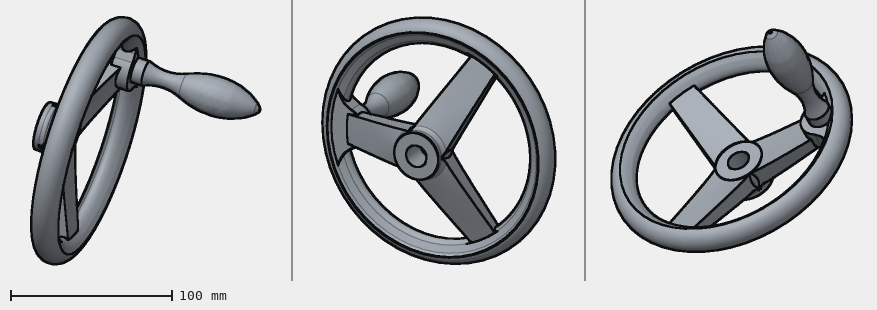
import cadquery as cq
import math


hub_radius = 31.0 / 2
hub_bore = 14.0
hub_length = 20.0
hub_edge_chamfer = 0.3
hub_barrel_radius = 16.3
hub_barrel_start_x = 6.5
hub_barrel_end_x = 18.7
hub_barrel_middle_x = (hub_barrel_start_x + hub_barrel_end_x) / 2

rim_radius = 80.0
rim_section_radius = 8.8
rim_center_radius = rim_radius - rim_section_radius
rim_center_x = 31.0
rim_inner_radius = 64.0
rim_inner_x = 30.4
rim_inner_back = (35.8, 66.5)
rim_back_x = rim_center_x + rim_section_radius
recess_radius = 73.6
recess_lip_width = 0.5
recess_x = 24.2
recess_inner_radius = 66.7
recess_inner_x = 26.5

spoke_count = 3
spoke_half_width_at_axis = 13.6
spoke_side_taper = 0.063
spoke_root_radius = 17.5
spoke_front_root_x = 7.4
spoke_front_slope = 0.39
spoke_back_root_x = 20.0
spoke_back_slope = 0.29
spoke_fillet_start_x = 3.8
spoke_end_radius = 68.0

handle_offset = 62.2
boss_radius = 13.8
boss_back_x = 36.8
boss_waist_y = 57.5
boss_flare_start = (62.0, 16.3)
boss_flare_middle = (64.3, 19.5)
boss_tip_z = 25.3

handle_shank_radius = 16.0 / 2
shank_end_x = 44.0
neck_radius = 5.3
grip_start_x = 69.5
grip_widest_x = 89.3
grip_widest_radius = 12.5
grip_shoulder_x = 103.5
grip_shoulder_radius = 10.9
grip_end_x = 117.6
grip_end_radius = 3.8
handle_tip_x = 120.0
handle_tip_radius = 1.3


def revolve_about_wheel_axis(profile):
    """Turn a closed profile, drawn as (X, radius), about the X axis."""
    return profile.close().revolve(360, (0, 0, 0), (1, 0, 0))


def make_hub():
    """Straight collar, then a slightly barrel-shaped core between the spokes."""
    profile = (
        cq.Workplane("XY")
        .lineTo(0, hub_radius - hub_edge_chamfer)
        .lineTo(hub_edge_chamfer, hub_radius)
        .lineTo(hub_barrel_start_x, hub_radius)
        .threePointArc((hub_barrel_middle_x, hub_barrel_radius), (hub_barrel_end_x, hub_radius))
        .lineTo(hub_length, hub_radius)
        .lineTo(hub_length, 0)
    )
    return revolve_about_wheel_axis(profile)


def rim_front_x(radius):
    """X of the round rim section on the hub side at a given wheel radius."""
    return rim_center_x - math.sqrt(rim_section_radius**2 - (radius - rim_center_radius) ** 2)


def make_rim():
    lip_x = rim_front_x(recess_radius)
    profile = (
        cq.Workplane("XY")
        .moveTo(lip_x, recess_radius)
        .threePointArc((rim_center_x, rim_radius), (rim_back_x, rim_center_radius))
        .spline(
            [rim_inner_back, (rim_inner_x, rim_inner_radius), (recess_inner_x, recess_inner_radius)],
            includeCurrent=True,
        )
        .lineTo(recess_x, rim_center_radius)
        .lineTo(lip_x, recess_radius - recess_lip_width)
    )
    return revolve_about_wheel_axis(profile)


def spoke_half_width(radius):
    return spoke_half_width_at_axis - spoke_side_taper * radius


def make_spoke():
    """One spoke along +Y, with a fillet where its front face meets the hub."""
    fillet_run = spoke_front_root_x - spoke_fillet_start_x
    fillet_rise = spoke_root_radius - hub_radius
    fillet_radius = (fillet_run**2 + fillet_rise**2) / (2 * fillet_rise)
    half_angle = math.asin(fillet_run / fillet_radius) / 2
    fillet_middle = (
        spoke_fillet_start_x + fillet_radius * math.sin(half_angle),
        hub_radius + fillet_radius * (1 - math.cos(half_angle)),
    )
    reach = spoke_end_radius - spoke_root_radius
    back_at_hub_x = spoke_back_root_x - spoke_back_slope * (spoke_root_radius - hub_radius)
    profile = (
        cq.Workplane("XY")
        .moveTo(spoke_fillet_start_x, hub_bore / 2)
        .lineTo(spoke_fillet_start_x, hub_radius)
        .threePointArc(fillet_middle, (spoke_front_root_x, spoke_root_radius))
        .lineTo(spoke_front_root_x + spoke_front_slope * reach, spoke_end_radius)
        .lineTo(spoke_back_root_x + spoke_back_slope * reach, spoke_end_radius)
        .lineTo(back_at_hub_x, hub_radius)
        .lineTo(back_at_hub_x, hub_bore / 2)
    )
    root = spoke_half_width(0)
    end = spoke_half_width(rim_radius)
    plan = (
        cq.Workplane("YZ")
        .polyline([(0, -root), (rim_radius, -end), (rim_radius, end), (0, root)])
        .close()
        .extrude(boss_back_x)
    )
    return revolve_about_wheel_axis(profile).intersect(plan)


def make_handle_boss():
    """Plate that rounds the handle and flares out to the rim on both sides."""
    waist_z = math.sqrt(boss_radius**2 - (handle_offset - boss_waist_y) ** 2)
    tip_y = math.sqrt(rim_center_radius**2 - boss_tip_z**2)
    nose_y = handle_offset - boss_radius
    flare_y, flare_z = boss_flare_start
    middle_y, middle_z = boss_flare_middle
    plate = (
        cq.Workplane("YZ", origin=(recess_x, 0, 0))
        .moveTo(tip_y, -boss_tip_z)
        .threePointArc((rim_center_radius, 0), (tip_y, boss_tip_z))
        .threePointArc((middle_y, middle_z), (flare_y, flare_z))
        .lineTo(boss_waist_y, waist_z)
        .threePointArc((nose_y, 0), (boss_waist_y, -waist_z))
        .lineTo(flare_y, -flare_z)
        .threePointArc((middle_y, -middle_z), (tip_y, -boss_tip_z))
        .close()
        .extrude(boss_back_x - recess_x)
    )
    return plate


def make_handle():
    neck_x = (shank_end_x + grip_start_x) / 2
    profile = (
        cq.Workplane("XY")
        .moveTo(boss_back_x, 0)
        .lineTo(boss_back_x, handle_shank_radius)
        .lineTo(shank_end_x, handle_shank_radius)
        .threePointArc((neck_x, neck_radius), (grip_start_x, handle_shank_radius))
        .spline(
            [
                (grip_widest_x, grip_widest_radius),
                (grip_shoulder_x, grip_shoulder_radius),
                (grip_end_x, grip_end_radius),
            ],
            includeCurrent=True,
        )
        .lineTo(handle_tip_x, handle_tip_radius)
        .lineTo(handle_tip_x, 0)
    )
    return revolve_about_wheel_axis(profile).translate((0, handle_offset, 0))


wheel = make_hub().union(make_rim())
spoke = make_spoke()
for index in range(spoke_count):
    angle = index * 360 / spoke_count
    wheel = wheel.union(spoke.rotate((0, 0, 0), (1, 0, 0), angle))
wheel = wheel.union(make_handle_boss()).union(make_handle())

bore = cq.Workplane("YZ").circle(hub_bore / 2).extrude(hub_length)
result = wheel.cut(bore)